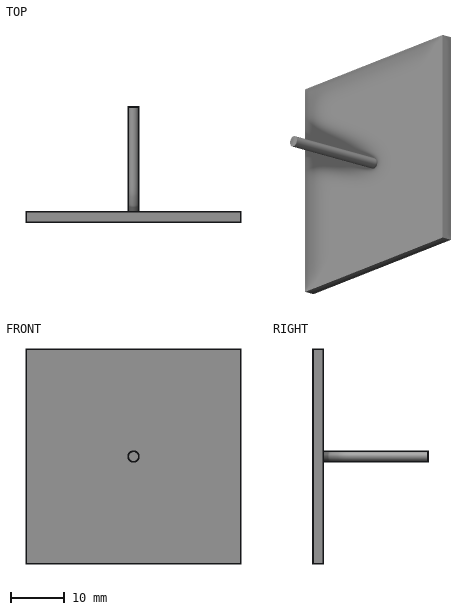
import cadquery as cq

plate_side = 40.0
plate_thickness = 2.0
overall_depth = 21.5
pin_diameter = 2.0
inner_ring_diameter = 4.0
outer_ring_diameter = 8.0


def disc(diameter, length):
    """Cylinder along +Y that starts at the plate's front face, Y = 0."""
    return cq.Workplane("XZ").circle(diameter / 2).extrude(-length)


def make_pin():
    """Straight round pin, flush with the plate's front face."""
    return disc(pin_diameter, overall_depth)


def plate_ring(outer_diameter, inner_diameter):
    """Ring as thick as the plate."""
    return disc(outer_diameter, plate_thickness).cut(disc(inner_diameter, plate_thickness))


def make_plate():
    """Square plate with a pin hole, its flat faces divided by two concentric circles."""
    plate = cq.Workplane("XY").box(
        plate_side, plate_thickness, plate_side, centered=(True, False, True)
    )
    plate = plate.cut(disc(outer_ring_diameter, plate_thickness))

    outer_ring = plate_ring(outer_ring_diameter, inner_ring_diameter)
    inner_ring = plate_ring(inner_ring_diameter, pin_diameter)
    return plate.union(outer_ring, clean=False).union(inner_ring, clean=False)


pin = make_pin()
plate = make_plate()

result = cq.Compound.makeCompound([plate.solids().val(), pin.val()])